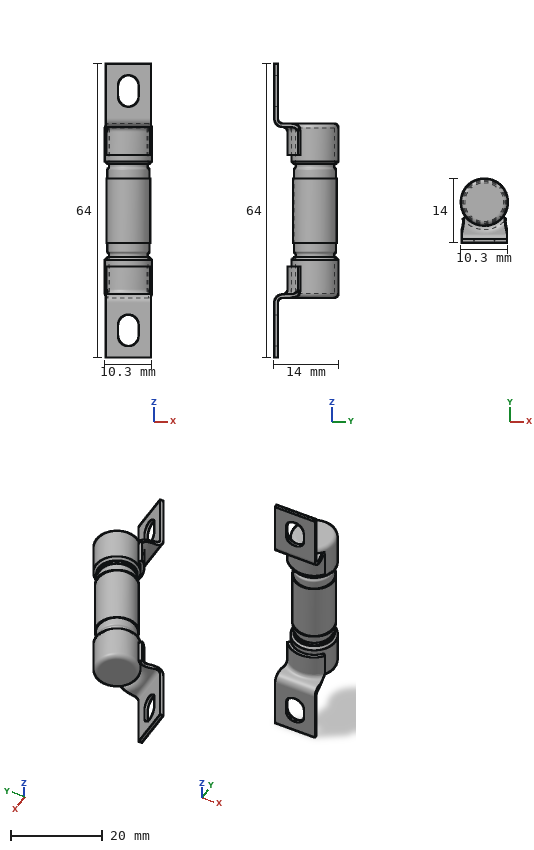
import cadquery as cq
import math


core_radius = 4.6
neck_radius = 4.2
sleeve_radius = 4.8
sleeve_half_length = 7.05
shoulder_start = 8.85
shoulder_end = 9.6

cap_diameter = 10.3
cap_inner_end = 10.1
cap_outer_end = 19.0
cap_chamfer = 0.65
cap_fillet = 1.1
cap_floor = 0.95

overall_half_length = 32.0
overall_depth = 14.0
tag_thickness = 0.85
tag_width = 9.85
saddle_start = 12.1
saddle_half_angle = 52.0
root_bend_radius = 1.0
plate_bend_radius = 1.0
shelf_neck_half_width = 4.4
shelf_neck_distance = 4.5
slot_width = 4.4
slot_length = 6.8
slot_end_distance = 5.95

core_half_length = cap_outer_end - cap_floor
cap_radius = cap_diameter / 2
half_width = tag_width / 2
saddle_radius = cap_radius + tag_thickness
shelf_top = cap_outer_end
shelf_bottom = shelf_top - tag_thickness
saddle_end = shelf_bottom - root_bend_radius
root_bend_end = saddle_radius + root_bend_radius
plate_face = overall_depth - cap_radius
plate_back = plate_face - tag_thickness
plate_bend_outer = plate_bend_radius + tag_thickness
plate_bend_start = plate_face - plate_bend_outer
plate_start = shelf_bottom + plate_bend_outer
slot_height = overall_half_length - slot_end_distance
diagonal = math.sqrt(0.5)


def make_core():
    """Solid core: half profile revolved, then mirrored about Z = 0."""
    middle_radius = (core_radius + neck_radius) / 2
    shoulder_middle = (shoulder_start + shoulder_end) / 2
    upper_half = (
        cq.Workplane("XZ")
        .lineTo(core_radius, 0)
        .lineTo(core_radius, shoulder_start)
        .tangentArcPoint((middle_radius, shoulder_middle), relative=False)
        .tangentArcPoint((neck_radius, shoulder_end), relative=False)
        .lineTo(neck_radius, core_half_length)
        .lineTo(0, core_half_length)
        .close()
        .revolve(360, (0, 0, 0), (0, 1, 0))
    )
    return upper_half.union(upper_half.mirror("XY"))


def make_sleeve():
    """Thin tube around the middle of the core."""
    return (
        cq.Workplane("XY")
        .workplane(offset=-sleeve_half_length)
        .circle(sleeve_radius)
        .circle(core_radius)
        .extrude(2 * sleeve_half_length)
    )


def make_cap():
    """Upper cup, closed at the outer end and fitted over the core neck."""
    cap = (
        cq.Workplane("XY")
        .workplane(offset=cap_inner_end)
        .circle(cap_radius)
        .extrude(cap_outer_end - cap_inner_end)
        .faces(">Z").edges().fillet(cap_fillet)
        .faces("<Z").edges().chamfer(cap_chamfer)
    )
    bore = (
        cq.Workplane("XY")
        .workplane(offset=cap_inner_end)
        .circle(neck_radius)
        .extrude(core_half_length - cap_inner_end)
    )
    return cap.cut(bore)


def revolve_about_minus_y(profile, half_angle):
    """Revolve a profile drawn in (radius, height) about Z, centred on -Y."""
    return (
        profile.revolve(2 * half_angle, (0, 0, 0), (0, 1, 0))
        .rotate((0, 0, 0), (0, 0, 1), -90 - half_angle)
    )


def make_saddle():
    """Curved wall that lies against the side of the cap."""
    profile = (
        cq.Workplane("XZ")
        .moveTo(cap_radius, saddle_start)
        .lineTo(saddle_radius, saddle_start)
        .lineTo(saddle_radius, saddle_end)
        .lineTo(cap_radius, saddle_end)
        .close()
    )
    return revolve_about_minus_y(profile, saddle_half_angle)


def make_side_trim():
    """Cutter whose sloped face trims the +X edge of the bend and shelf."""
    angle = math.radians(saddle_half_angle)
    saddle_corner = cq.Vector(saddle_radius * math.sin(angle), -saddle_radius * math.cos(angle), saddle_end)
    plate_corner = cq.Vector(half_width, -plate_bend_start, shelf_top)
    neck_corner = cq.Vector(shelf_neck_half_width, -shelf_neck_distance, shelf_top)
    along_edge = plate_corner - saddle_corner
    outward = (neck_corner - saddle_corner).cross(along_edge)
    return (
        cq.Workplane(cq.Plane(saddle_corner, along_edge, outward))
        .rect(overall_depth, overall_depth)
        .extrude(tag_width)
    )


def make_root_bend():
    """Bend from the saddle to the flat shelf, trimmed to the tag's width."""
    shelf_reach = math.hypot(half_width, plate_bend_start)
    outer_radius = root_bend_radius + tag_thickness
    profile = (
        cq.Workplane("XZ")
        .moveTo(saddle_radius, saddle_end)
        .threePointArc(
            (root_bend_end - root_bend_radius * diagonal, saddle_end + root_bend_radius * diagonal),
            (root_bend_end, shelf_bottom),
        )
        .lineTo(shelf_reach, shelf_bottom)
        .lineTo(shelf_reach, shelf_top)
        .lineTo(root_bend_end, shelf_top)
        .threePointArc(
            (root_bend_end - outer_radius * diagonal, saddle_end + outer_radius * diagonal),
            (cap_radius, saddle_end),
        )
        .close()
    )
    bend = revolve_about_minus_y(profile, saddle_half_angle)
    width_limit = (
        cq.Workplane("XY")
        .workplane(offset=saddle_end)
        .rect(tag_width, 2 * plate_bend_start)
        .extrude(shelf_top - saddle_end)
    )
    trim = make_side_trim()
    return bend.intersect(width_limit).cut(trim).cut(trim.mirror("YZ"))


def make_plate():
    """Flat mounting plate with its bend and its slot."""
    plate = (
        cq.Workplane("YZ")
        .moveTo(-plate_bend_start, shelf_bottom)
        .threePointArc(
            (-plate_bend_start - plate_bend_outer * diagonal, plate_start - plate_bend_outer * diagonal),
            (-plate_face, plate_start),
        )
        .lineTo(-plate_face, overall_half_length)
        .lineTo(-plate_back, overall_half_length)
        .lineTo(-plate_back, plate_start)
        .threePointArc(
            (-plate_bend_start - plate_bend_radius * diagonal, plate_start - plate_bend_radius * diagonal),
            (-plate_bend_start, shelf_top),
        )
        .close()
        .extrude(half_width, both=True)
    )
    slot = (
        cq.Workplane("XZ", origin=(0, -plate_back, 0))
        .center(0, slot_height)
        .slot2D(slot_length, slot_width, 90)
        .extrude(tag_thickness)
    )
    return plate.cut(slot)


def make_tag():
    """Upper mounting tag: saddle, shelf and plate in one piece."""
    return make_saddle().union(make_root_bend()).union(make_plate())


core = make_core()
sleeve = make_sleeve()
end_solids = []
for make_end_body in (make_cap, make_tag):
    upper = make_end_body()
    lower = upper.mirror("XY")
    end_solids += [upper.val(), lower.val()]

result = cq.Compound.makeCompound([core.val(), sleeve.val(), *end_solids])